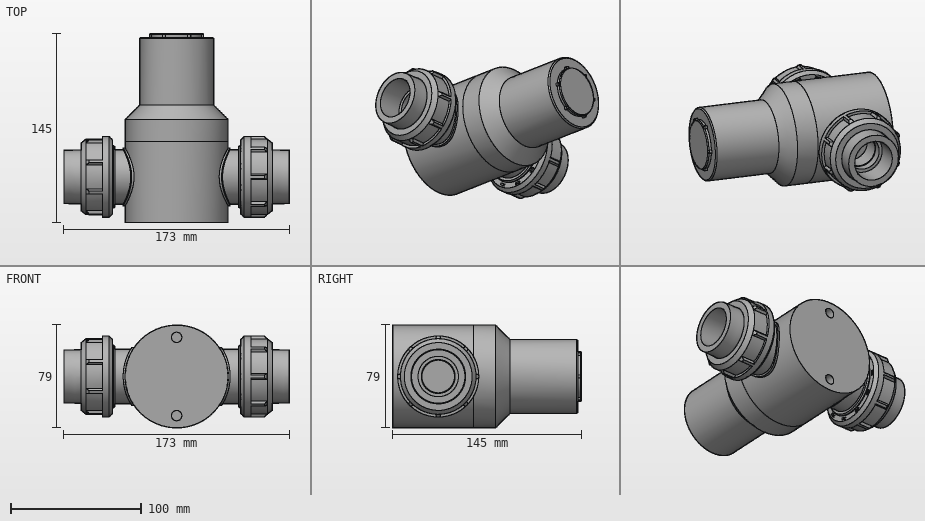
import cadquery as cq


HOUSING_DIA = 79.0
HOUSING_FRONT_Y = -35.0
HOUSING_BACK_Y = 27.0
MOUNT_HOLE_DIA = 7.94
MOUNT_HOLE_DEPTH = 15.0
MOUNT_HOLE_SPACING = 60.0

BONNET_DIA = 57.0
BONNET_CONE_START_Y = 44.0
BONNET_CONE_END_Y = BONNET_CONE_START_Y + (HOUSING_DIA - BONNET_DIA) / 2
BONNET_BACK_Y = 107.0
BONNET_CHAMFER = 1.0

CAP_DIA = 38.3
CAP_HEIGHT = 3.0
CAP_BEVEL_HEIGHT = 1.0
CAP_BEVEL_INSET = 0.5
GRIP_COUNT = 6
GRIP_DIA = 2.6
GRIP_CIRCLE_RADIUS = 19.4

NECK_DIA = 42.0
NECK_BORE_DIA = 25.0
NECK_BORE_FLOOR_X = 42.0
SADDLE_DIA = 44.5
SADDLE_THICKNESS = 1.5
COLLAR_DIA = 48.0
COLLAR_LEAD_DIA = 46.3
COLLAR_X = 47.3
COLLAR_LEAD_LENGTH = 1.2
JOINT_X = 58.0

TAIL_END_X = 86.5
TAIL_TIP_DIA = 41.0
TAIL_ROOT_DIA = 41.5
TAIL_BORE_DIA = 26.0
TAIL_FLANGE_END_X = 66.0
SOCKET_DIA = 31.0
SOCKET_DEPTH = 21.0

NUT_INNER_X = 49.1
NUT_RING_X = 51.8
NUT_RING_END_X = 57.0
NUT_CONE_X = 69.5
NUT_OUTER_X = 73.3
NUT_RING_DIA = 62.2
NUT_FACE_DIA = 56.8
NUT_BODY_DIA = 58.0
NUT_END_DIA = 52.0
NUT_OPENING_DIA = 42.0

RIB_COUNT = 8
RIB_TOP_WIDTH = 2.0
RIB_BASE_WIDTH = 4.7
RIB_ROOT_RADIUS = 27.5
RIB_TAPER_RADIUS = 28.5
RIB_TOP_MARGIN = 0.2
RIB_SLOPE_X = 67.2

POCKET_COUNT = 10
POCKET_CIRCLE_RADIUS = 26.2
POCKET_LENGTH = 4.0
POCKET_WIDTH = 1.6
POCKET_DEPTH = 3.0

RIGHT_NUT_TURN = 0.0
LEFT_NUT_TURN = 180.0 / RIB_COUNT


def y_cylinder(diameter, start_y, end_y):
    """Solid cylinder on the valve axis."""
    return cq.Workplane("XZ", origin=(0, start_y, 0)).circle(diameter / 2).extrude(start_y - end_y)


def x_cylinder(diameter, start_x, end_x):
    """Solid cylinder on the pipe axis."""
    return cq.Workplane("YZ", origin=(start_x, 0, 0)).circle(diameter / 2).extrude(end_x - start_x)


def turn_about_x(points):
    """Revolve a closed outline of (x, radius) points about the pipe axis."""
    return cq.Workplane("XY").polyline(points).close().revolve(360, (0, 0, 0), (1, 0, 0))


def make_housing():
    body = y_cylinder(HOUSING_DIA, HOUSING_FRONT_Y, HOUSING_BACK_Y)
    holes = (
        cq.Workplane("XZ", origin=(0, HOUSING_FRONT_Y, 0))
        .rarray(1, MOUNT_HOLE_SPACING, 1, 2)
        .circle(MOUNT_HOLE_DIA / 2)
        .extrude(-MOUNT_HOLE_DEPTH)
    )
    return body.cut(holes)


def make_bonnet():
    outline = [
        (0, HOUSING_BACK_Y),
        (HOUSING_DIA / 2, HOUSING_BACK_Y),
        (HOUSING_DIA / 2, BONNET_CONE_START_Y),
        (BONNET_DIA / 2, BONNET_CONE_END_Y),
        (BONNET_DIA / 2, BONNET_BACK_Y - BONNET_CHAMFER),
        (BONNET_DIA / 2 - BONNET_CHAMFER, BONNET_BACK_Y),
        (0, BONNET_BACK_Y),
    ]
    return cq.Workplane("XY").polyline(outline).close().revolve(360, (0, 0, 0), (0, 1, 0))


def bevelled_disc(diameter):
    """Disc of cap height on the valve axis, with a steep bevel on its back edge."""
    back_y = BONNET_BACK_Y + CAP_HEIGHT
    radius = diameter / 2
    outline = [
        (0, BONNET_BACK_Y),
        (radius, BONNET_BACK_Y),
        (radius, back_y - CAP_BEVEL_HEIGHT),
        (radius - CAP_BEVEL_INSET, back_y),
        (0, back_y),
    ]
    return cq.Workplane("XY").polyline(outline).close().revolve(360, (0, 0, 0), (0, 1, 0))


def make_cap():
    """Round cap with half-round grips around its rim."""
    cap = bevelled_disc(CAP_DIA)
    grip = bevelled_disc(GRIP_DIA).translate((GRIP_CIRCLE_RADIUS, 0, 0))
    for i in range(GRIP_COUNT):
        cap = cap.union(grip.rotate((0, 0, 0), (0, 1, 0), i * 360 / GRIP_COUNT))
    return cap


def make_connector():
    """Neck with a saddle against the housing and a collar under the nut."""
    saddle_limit = y_cylinder(HOUSING_DIA + 2 * SADDLE_THICKNESS, HOUSING_FRONT_Y, HOUSING_BACK_Y)
    saddle = x_cylinder(SADDLE_DIA, 0, COLLAR_X).intersect(saddle_limit)
    neck = x_cylinder(NECK_DIA, 0, COLLAR_X)
    collar = turn_about_x([
        (COLLAR_X, 0),
        (COLLAR_X, COLLAR_LEAD_DIA / 2),
        (COLLAR_X + COLLAR_LEAD_LENGTH, COLLAR_DIA / 2),
        (JOINT_X, COLLAR_DIA / 2),
        (JOINT_X, 0),
    ])
    bore = x_cylinder(NECK_BORE_DIA, NECK_BORE_FLOOR_X, JOINT_X)
    housing_space = y_cylinder(HOUSING_DIA, HOUSING_FRONT_Y, HOUSING_BACK_Y)
    return neck.union(saddle).union(collar).cut(bore).cut(housing_space)


def make_tail():
    """Flanged tail piece with a stepped pipe socket."""
    socket_floor_x = TAIL_END_X - SOCKET_DEPTH
    return turn_about_x([
        (JOINT_X, TAIL_BORE_DIA / 2),
        (JOINT_X, COLLAR_DIA / 2),
        (TAIL_FLANGE_END_X, COLLAR_DIA / 2),
        (TAIL_FLANGE_END_X, TAIL_ROOT_DIA / 2),
        (NUT_OUTER_X, TAIL_ROOT_DIA / 2),
        (TAIL_END_X, TAIL_TIP_DIA / 2),
        (TAIL_END_X, SOCKET_DIA / 2),
        (socket_floor_x, SOCKET_DIA / 2),
        (socket_floor_x, TAIL_BORE_DIA / 2),
    ])


def make_rib():
    """One grip rib on top of the nut, tapered in width and sloped at its outer end."""
    tip = NUT_RING_DIA / 2
    slope_length = tip - RIB_ROOT_RADIUS
    outline = [
        (NUT_RING_END_X, RIB_ROOT_RADIUS),
        (NUT_RING_END_X, tip),
        (RIB_SLOPE_X, tip),
        (RIB_SLOPE_X + slope_length, RIB_ROOT_RADIUS),
    ]
    section = [
        (-RIB_BASE_WIDTH / 2, 0),
        (RIB_BASE_WIDTH / 2, 0),
        (RIB_BASE_WIDTH / 2, RIB_TAPER_RADIUS),
        (RIB_TOP_WIDTH / 2, tip + RIB_TOP_MARGIN),
        (-RIB_TOP_WIDTH / 2, tip + RIB_TOP_MARGIN),
        (-RIB_BASE_WIDTH / 2, RIB_TAPER_RADIUS),
    ]
    bar = cq.Workplane("YZ").polyline(section).close().extrude(NUT_OUTER_X)
    return turn_about_x(outline).intersect(bar)


def make_nut(turn):
    """Union nut, turned about the pipe axis by the given angle in degrees."""
    nut = turn_about_x([
        (NUT_INNER_X, COLLAR_DIA / 2),
        (NUT_INNER_X, NUT_FACE_DIA / 2),
        (NUT_RING_X, NUT_RING_DIA / 2),
        (NUT_RING_END_X, NUT_RING_DIA / 2),
        (NUT_RING_END_X, NUT_BODY_DIA / 2),
        (NUT_CONE_X, NUT_BODY_DIA / 2),
        (NUT_OUTER_X, NUT_END_DIA / 2),
        (NUT_OUTER_X, NUT_OPENING_DIA / 2),
        (TAIL_FLANGE_END_X, NUT_OPENING_DIA / 2),
        (TAIL_FLANGE_END_X, COLLAR_DIA / 2),
    ])
    rib = make_rib()
    for i in range(RIB_COUNT):
        nut = nut.union(rib.rotate((0, 0, 0), (1, 0, 0), i * 360 / RIB_COUNT))
    pockets = (
        cq.Workplane("YZ", origin=(NUT_INNER_X, 0, 0))
        .polarArray(POCKET_CIRCLE_RADIUS, 0, 360, POCKET_COUNT)
        .rect(POCKET_WIDTH, POCKET_LENGTH)
        .extrude(POCKET_DEPTH)
    )
    return nut.cut(pockets).rotate((0, 0, 0), (1, 0, 0), turn)


bodies = [make_housing(), make_bonnet(), make_cap()]
for side_mirrored, nut_turn in ((False, RIGHT_NUT_TURN), (True, LEFT_NUT_TURN)):
    for piece in (make_connector(), make_nut(nut_turn), make_tail()):
        bodies.append(piece.mirror("YZ") if side_mirrored else piece)

result = cq.Compound.makeCompound([body.solids().val() for body in bodies])